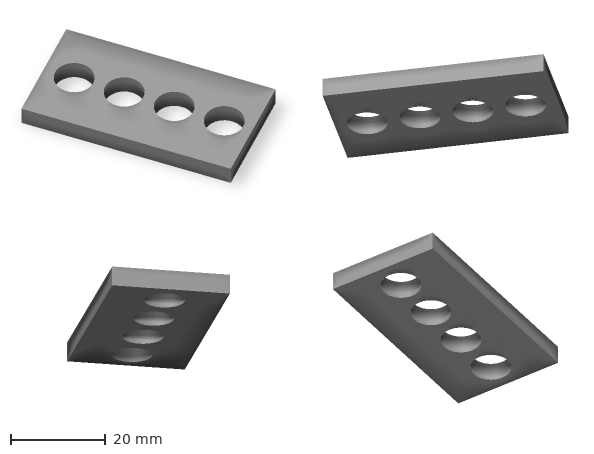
import cadquery as cq

length = 47.75
width = 25.4
thickness = 4.25

hole_count = 4
hole_diameter = 8.65
hole_pitch = 11.4
first_hole_from_end = 6.9

plate = cq.Workplane("XY").box(length, width, thickness)

first_hole_x = -length / 2 + first_hole_from_end
hole_centers = [(first_hole_x + i * hole_pitch, 0) for i in range(hole_count)]

result = plate.faces(">Z").workplane().pushPoints(hole_centers).hole(hole_diameter)